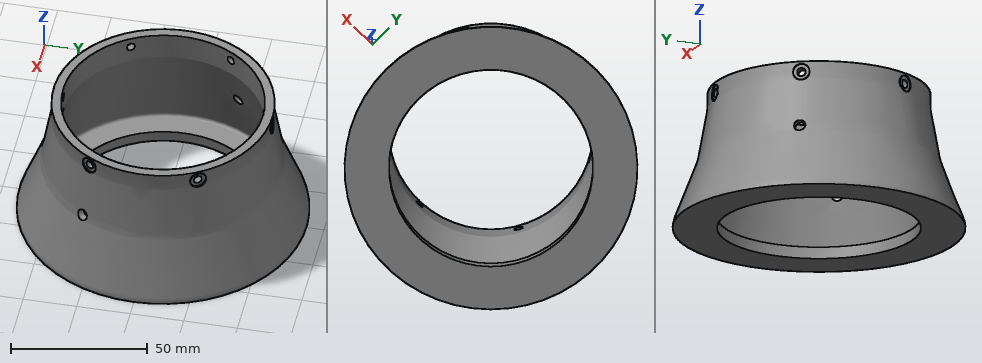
import cadquery as cq
import math

base_radius = 53.6
height = 51.1
neck_radius = 40.8
bore_radius = 37.3
wall = neck_radius - bore_radius

rim_height = 2.0
flare_angle = math.radians(21.0)
neck_curve_points = [(41.1, 43.7), (44.1, 27.4)]
cone_top_z = 23.6

floor_thickness = 4.4
neck_bore_depth = 10.4
cavity_floor_radius = 46.7
floor_fillet = 1.1

screw_count = 6
screw_z = 47.2
screw_diameter = 3.1
counterbore_diameter = 6.1
counterbore_depth = 0.4
side_hole_z = 25.5
side_hole_diameter = 4.2
side_hole_angles = (-30.0, 150.0)

rim_arc_radius = rim_height / math.sin(flare_angle)


def rim_point(angle):
    return (
        base_radius - rim_arc_radius * (1 - math.cos(angle)),
        rim_arc_radius * math.sin(angle),
    )


rim_top_radius = rim_point(flare_angle)[0]
cone_top_radius = rim_top_radius - (cone_top_z - rim_height) * math.tan(flare_angle)
cone_direction = (-math.sin(flare_angle), math.cos(flare_angle))


def make_outer_body():
    flare_points = [*reversed(neck_curve_points), (neck_radius, height)]
    return (
        cq.Workplane("XZ")
        .lineTo(base_radius, 0)
        .threePointArc(rim_point(flare_angle / 2), rim_point(flare_angle))
        .lineTo(cone_top_radius, cone_top_z)
        .spline(flare_points, tangents=[cone_direction, (0, 1)], includeCurrent=True)
        .lineTo(0, height)
        .close()
        .revolve(360, (0, 0), (0, 1))
    )


def make_cavity():
    """Space inside the wall, above the floor, with a rounded floor corner."""
    return (
        cq.Workplane("XZ")
        .moveTo(0, floor_thickness)
        .lineTo(cavity_floor_radius, floor_thickness)
        .lineTo(bore_radius, height - neck_bore_depth)
        .lineTo(bore_radius, height)
        .lineTo(0, height)
        .close()
        .revolve(360, (0, 0), (0, 1))
        .faces("<Z")
        .edges()
        .fillet(floor_fillet)
    )


def radial_cutter(diameter, inner_radius, z, angle):
    """Horizontal cylinder from inner_radius outward past the body."""
    return (
        cq.Workplane("YZ", origin=(inner_radius, 0, z))
        .circle(diameter / 2)
        .extrude(base_radius - inner_radius)
        .rotate((0, 0, 0), (0, 0, 1), angle)
    )


through_bore = cq.Workplane("XY").circle(bore_radius).extrude(height)
result = make_outer_body().cut(make_cavity()).cut(through_bore)

seat_radius = neck_radius - counterbore_depth
cut_start_radius = bore_radius - wall
for index in range(screw_count):
    screw_angle = -90 + index * 360 / screw_count
    result = result.cut(radial_cutter(screw_diameter, cut_start_radius, screw_z, screw_angle))
    result = result.cut(radial_cutter(counterbore_diameter, seat_radius, screw_z, screw_angle))

for side_angle in side_hole_angles:
    result = result.cut(radial_cutter(side_hole_diameter, cut_start_radius, side_hole_z, side_angle))